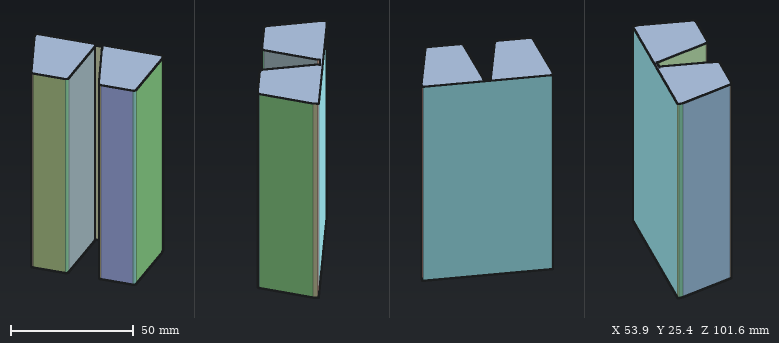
import cadquery as cq
import math

length = 101.6
depth = 25.4
rib_width = 25.4
rib_pitch = 28.5

land_depth = 2.3
taper_angle = 12.2
tip_radius = 1.2
back_edge_radius = 0.5

web_thickness = 1.2

back_y = depth / 2
front_y = -depth / 2
land_y = back_y - land_depth
taper_inset = (depth - land_depth) * math.tan(math.radians(taper_angle))
half_width = rib_width / 2
half_tip = half_width - taper_inset


def make_rib(center_x):
    """Full-length rib with straight lands, tapered sides and rounded tip edges."""
    outline = [
        (-half_width, back_y),
        (half_width, back_y),
        (half_width, land_y),
        (half_tip, front_y),
        (-half_tip, front_y),
        (-half_width, land_y),
    ]
    rib = cq.Workplane("XY").polyline(outline).close().extrude(length)
    rib = rib.faces("<Y").edges("|Z").fillet(tip_radius)
    return rib.translate((center_x, 0, 0))


def make_web():
    """Thin strip along the back that joins the rib centers."""
    return (
        cq.Workplane("XY")
        .center(0, back_y - web_thickness / 2)
        .rect(rib_pitch, web_thickness)
        .extrude(length)
    )


result = make_web()
for side in (-1, 1):
    result = result.union(make_rib(side * rib_pitch / 2))
result = result.clean()

result = result.faces(">Y").edges("|Z").fillet(back_edge_radius)